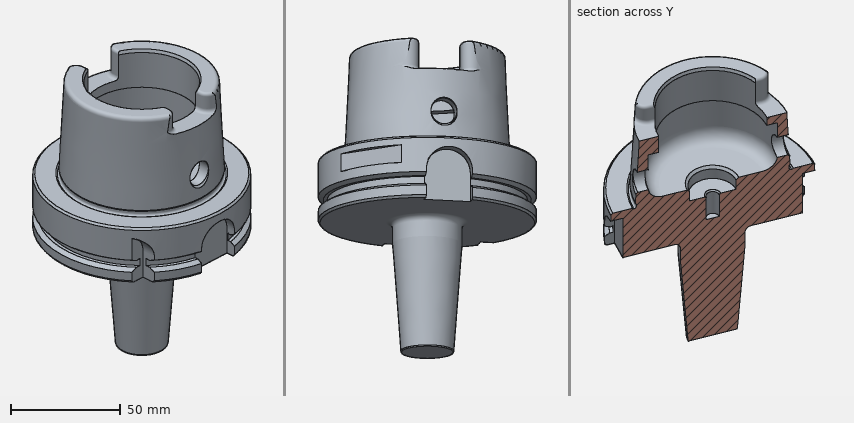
import cadquery as cq
import math


total_height = 140
taper_top = 50.0
nose_bottom = taper_top - total_height
flange_bottom = -29.0

taper_base_radius = 38.0
taper_base_z = 2.5
taper_slope = 0.05
rim_fillet = 2.1
neck_radius = 37.5
neck_top_z = 1.8
undercut_fillet = 1.1
undercut_depth = 0.5
undercut_outer_radius = 39.3

flange_radius = 50.0
flange_top_chamfer = 1.0
flange_bottom_chamfer_radial = 0.8
flange_bottom_chamfer_height = 1.1
groove_z = -20.2
groove_floor_radius = 45.9
groove_floor_half_width = 1.8
groove_flare_depth = 2.4
groove_flare_angle = 30

nose_radius = 16.0
nose_root_fillet = 2.8
nose_cone_top = -39.2
nose_tip_radius = 12.2
nose_tip_chamfer_radial = 0.3
nose_tip_chamfer_height = 0.5

bore_radius = 26.5
bore_chamfer_radial = 0.7
bore_chamfer_depth = 1.5
bore_entry_bottom = 30.0
chamber_radius = 31.5
chamber_floor = 2.8
chamber_fillet = 7.0
counterbore_radius = 11.3
counterbore_chamfer = 1.3
counterbore_depth = 7.0
pilot_radius = 3.1
pilot_chamfer = 0.7
pilot_depth = 14.0

notch_half_width = 10.0
tooth_half_length = 32.3
tooth_corner_radius = 4.9
tooth_flank_lean = 25
tooth_flank_length = 28.0
notch_fillet = 2.0
tooth_top_fillet = 1.5
left_notch_floor = 35.0
right_notch_floor = 40.0

cross_hole_z = 15.0
cross_hole_radius = 6.0
cross_hole_countersink_radius = 6.6
cross_hole_countersink_x = 37.2

keyway_half_width = 10.8
keyway_floor_x = 44.0
keyway_top = -4.9

orientation_floor_x = 31.5
orientation_wall_y = -31.5
orientation_radius = 9.8
orientation_arch_z = -14.8

flat_distance = 47.2
flat_top = -4.0
flat_bottom = -12.3

clearance = 56


def make_body():
    rim_radius = taper_base_radius - taper_slope * (taper_top - taper_base_z)
    rim_side_z = taper_top - rim_fillet
    rim_side_radius = rim_radius + taper_slope * rim_fillet
    rim_flat_radius = rim_side_radius - rim_fillet
    diagonal = math.sqrt(0.5)

    flare_height = groove_flare_depth * math.tan(math.radians(groove_flare_angle))
    flare_radius = flange_radius - groove_flare_depth
    groove_top = groove_z + groove_floor_half_width
    groove_bottom = groove_z - groove_floor_half_width

    root_radius = nose_radius + nose_root_fillet
    root_middle = (
        root_radius - nose_root_fillet * diagonal,
        flange_bottom - nose_root_fillet * (1 - diagonal),
    )
    undercut_middle = (
        neck_radius + undercut_fillet * (1 - diagonal),
        -undercut_depth + undercut_fillet * (1 - diagonal),
    )
    return (
        cq.Workplane("XZ")
        .moveTo(0, nose_bottom)
        .lineTo(nose_tip_radius - nose_tip_chamfer_radial, nose_bottom)
        .lineTo(nose_tip_radius, nose_bottom + nose_tip_chamfer_height)
        .lineTo(nose_radius, nose_cone_top)
        .lineTo(nose_radius, flange_bottom - nose_root_fillet)
        .threePointArc(root_middle, (root_radius, flange_bottom))
        .lineTo(flange_radius - flange_bottom_chamfer_radial, flange_bottom)
        .lineTo(flange_radius, flange_bottom + flange_bottom_chamfer_height)
        .lineTo(flange_radius, groove_bottom - flare_height)
        .lineTo(flare_radius, groove_bottom)
        .lineTo(groove_floor_radius, groove_bottom)
        .lineTo(groove_floor_radius, groove_top)
        .lineTo(flare_radius, groove_top)
        .lineTo(flange_radius, groove_top + flare_height)
        .lineTo(flange_radius, -flange_top_chamfer)
        .lineTo(flange_radius - flange_top_chamfer, 0)
        .lineTo(undercut_outer_radius, 0)
        .lineTo(neck_radius + undercut_fillet, -undercut_depth)
        .threePointArc(undercut_middle, (neck_radius, undercut_fillet - undercut_depth))
        .lineTo(neck_radius, neck_top_z)
        .lineTo(taper_base_radius, taper_base_z)
        .lineTo(rim_side_radius, rim_side_z)
        .threePointArc(
            (rim_flat_radius + rim_fillet * diagonal, rim_side_z + rim_fillet * diagonal),
            (rim_flat_radius, taper_top),
        )
        .lineTo(0, taper_top)
        .close()
        .revolve(360, (0, 0, 0), (0, 1, 0))
    )


def make_bore():
    diagonal = math.sqrt(0.5)
    counterbore_floor = chamber_floor - counterbore_depth
    fillet_center_radius = chamber_radius - chamber_fillet
    fillet_center_z = chamber_floor + chamber_fillet
    fillet_middle = (
        fillet_center_radius + chamber_fillet * diagonal,
        fillet_center_z - chamber_fillet * diagonal,
    )
    return (
        cq.Workplane("XZ")
        .moveTo(0, taper_top)
        .lineTo(bore_radius + bore_chamfer_radial, taper_top)
        .lineTo(bore_radius, taper_top - bore_chamfer_depth)
        .lineTo(bore_radius, bore_entry_bottom)
        .lineTo(chamber_radius, bore_entry_bottom)
        .lineTo(chamber_radius, fillet_center_z)
        .threePointArc(fillet_middle, (fillet_center_radius, chamber_floor))
        .lineTo(counterbore_radius + counterbore_chamfer, chamber_floor)
        .lineTo(counterbore_radius, chamber_floor - counterbore_chamfer)
        .lineTo(counterbore_radius, counterbore_floor)
        .lineTo(pilot_radius + pilot_chamfer, counterbore_floor)
        .lineTo(pilot_radius, counterbore_floor - pilot_chamfer)
        .lineTo(pilot_radius, counterbore_floor - pilot_depth)
        .lineTo(0, counterbore_floor - pilot_depth)
        .close()
        .revolve(360, (0, 0, 0), (0, 1, 0))
    )


def trace_tooth_end(outline, side, start_at_wall):
    """Draw one tooth end on +Y at the given X side, between its notch wall and a far flank point.

    The corner arc turns past 90 degrees, so the flank behind it leans back toward the rim.
    """
    lean = math.radians(tooth_flank_lean)
    center_x = tooth_half_length - tooth_corner_radius
    center_y = notch_half_width + tooth_corner_radius
    middle_angle = (lean - math.pi / 2) / 2

    def corner_point(angle):
        x = center_x + tooth_corner_radius * math.cos(angle)
        return side * x, center_y + tooth_corner_radius * math.sin(angle)

    wall = corner_point(-math.pi / 2)
    flank_start = corner_point(lean)
    flank_end = (
        flank_start[0] - side * tooth_flank_length * math.sin(lean),
        flank_start[1] + tooth_flank_length * math.cos(lean),
    )
    middle = corner_point(middle_angle)
    if start_at_wall:
        return outline.lineTo(*wall).threePointArc(middle, flank_start).lineTo(*flank_end)
    return outline.lineTo(*flank_end).lineTo(*flank_start).threePointArc(middle, wall)


def make_notch(floor_z, side):
    """Drive notch on one side (+1 or -1 along X), widening around the tooth corners."""
    outline = cq.Workplane("XY", origin=(0, 0, floor_z)).moveTo(0, 0).lineTo(0, notch_half_width)
    outline = trace_tooth_end(outline, side, start_at_wall=True)
    half = outline.lineTo(side * clearance, clearance).lineTo(side * clearance, 0).close()
    half_notch = half.extrude(taper_top - floor_z)
    notch = half_notch.union(half_notch.mirror("XZ"))
    return notch.faces("<Z").edges().fillet(notch_fillet)


def make_tooth_rounding():
    """Material outside the two rim teeth, whose top edges are rounded."""
    slab_height = 2 * tooth_top_fillet
    base = cq.Workplane("XY", origin=(0, 0, taper_top - slab_height))
    slab = base.rect(2 * clearance, 2 * clearance).extrude(slab_height)
    outline = base.moveTo(0, notch_half_width)
    outline = trace_tooth_end(outline, 1, start_at_wall=True)
    outline = trace_tooth_end(outline, -1, start_at_wall=False)
    tooth = outline.close().extrude(slab_height).faces(">Z").edges().fillet(tooth_top_fillet)
    return slab.cut(tooth).cut(tooth.mirror("XZ"))


def make_cross_hole():
    """Hole along X, countersunk at 45 degrees from each side of the taper."""
    cone_tip_x = cross_hole_countersink_x - cross_hole_countersink_radius
    hole_end_x = cone_tip_x + cross_hole_radius
    cone_end_x = taper_base_radius
    cone_end_radius = cone_end_x - cone_tip_x
    half_profile = (
        cq.Workplane("XY")
        .polyline([
            (-cone_end_x, 0),
            (-cone_end_x, cone_end_radius),
            (-hole_end_x, cross_hole_radius),
            (hole_end_x, cross_hole_radius),
            (cone_end_x, cone_end_radius),
            (cone_end_x, 0),
        ])
        .close()
    )
    return half_profile.revolve(360, (0, 0, 0), (1, 0, 0)).translate((0, 0, cross_hole_z))


def make_arched_slot(floor_x, center_y, half_width, arch_center_z):
    """Slot opening toward +X and downward, closed above by a round arch."""
    arch = cq.Workplane("YZ", origin=(floor_x, center_y, arch_center_z)).circle(half_width)
    height = arch_center_z - flange_bottom
    legs = (
        cq.Workplane("YZ", origin=(floor_x, center_y, arch_center_z - height / 2))
        .rect(2 * half_width, height)
        .extrude(clearance)
    )
    return arch.extrude(clearance).union(legs)


def make_flat_pocket():
    """Flat facing halfway between -X and +Y."""
    return (
        cq.Workplane("XY", origin=(0, 0, flat_bottom))
        .center(flat_distance + clearance / 2, 0)
        .rect(clearance, 2 * clearance)
        .extrude(flat_top - flat_bottom)
        .rotate((0, 0, 0), (0, 0, 1), 135)
    )


result = make_body().cut(make_bore())

result = result.cut(make_notch(left_notch_floor, -1))
result = result.cut(make_notch(right_notch_floor, 1))
result = result.cut(make_tooth_rounding())
result = result.cut(make_cross_hole())

keyway = make_arched_slot(keyway_floor_x, 0, keyway_half_width, keyway_top - keyway_half_width)
result = result.cut(keyway).cut(keyway.mirror("YZ"))
orientation_center_y = orientation_wall_y - orientation_radius
result = result.cut(
    make_arched_slot(orientation_floor_x, orientation_center_y, orientation_radius, orientation_arch_z)
)
result = result.cut(make_flat_pocket())